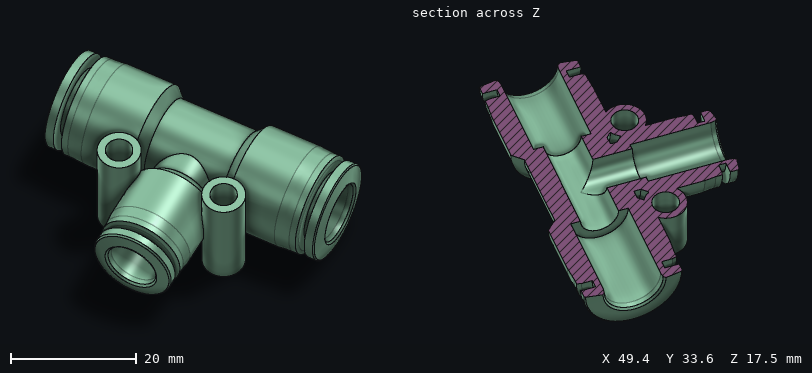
import cadquery as cq


run_half_length = 24.7
branch_reach = 24.8
flow_bore_radius = 3.2

border_depth = 0.2
border_width = 0.8

run_arm = dict(
    length=run_half_length,
    core_radius=7.05,
    rim_radius=8.4,
    face_radius=8.15,
    face_depth=0.45,
    rim_depth=0.65,
    rim_end=2.1,
    neck_radius=5.95,
    body_start=3.45,
    lip_radius=8.55,
    lip_end=4.8,
    body_radius=8.75,
    taper_end=7.3,
    shoulder_depth=16.1,
    mouth_radius=5.35,
    throat_radius=5.0,
    throat_depth=0.35,
    socket_radius=4.85,
    lead_in_depth=1.2,
)

branch_arm = dict(
    length=branch_reach,
    core_radius=5.5,
    rim_radius=6.9,
    face_radius=6.65,
    face_depth=0.35,
    rim_depth=0.65,
    rim_end=2.0,
    neck_radius=4.9,
    body_start=3.15,
    lip_radius=7.05,
    lip_end=4.5,
    body_radius=7.25,
    taper_end=6.4,
    shoulder_depth=14.85,
    mouth_radius=4.65,
    throat_radius=4.3,
    throat_depth=0.35,
    socket_radius=4.15,
    lead_in_depth=1.2,
)

mount_spacing = 18.8
mount_y = -10.9
mount_radius = 3.5
mount_hole_radius = 2.15
mount_height = 2 * run_arm["body_radius"]


def revolve_about_x(points):
    """Revolve a closed half-profile of (x, radius) points about the X axis."""
    return cq.Workplane("XY").polyline(points).close().revolve(360, (0, 0, 0), (1, 0, 0))


def arm_solid(a):
    """Outside of one arm, lying along +X with its open tip at x = length."""
    tip = a["length"]
    shoulder_end = a["shoulder_depth"] + a["body_radius"] - a["core_radius"]
    outline = [
        (0, 0),
        (0, a["mouth_radius"]),
        (a["face_depth"], a["face_radius"]),
        (a["rim_depth"], a["rim_radius"]),
        (a["rim_end"], a["rim_radius"]),
        (a["rim_end"], a["neck_radius"]),
        (a["body_start"], a["neck_radius"]),
        (a["body_start"], a["lip_radius"] - border_width),
        (a["body_start"] + border_depth, a["lip_radius"]),
        (a["lip_end"], a["lip_radius"]),
        (a["taper_end"], a["body_radius"]),
        (a["shoulder_depth"], a["body_radius"]),
        (shoulder_end, a["core_radius"]),
        (tip, a["core_radius"]),
        (tip, 0),
    ]
    return revolve_about_x([(tip - depth, radius) for depth, radius in outline])


def arm_cavity(a):
    """Tube socket with a tapered mouth, ending at the shoulder, plus the flow bore."""
    tip = a["length"]
    outline = [
        (0, 0),
        (0, a["mouth_radius"]),
        (a["throat_depth"], a["throat_radius"]),
        (a["lead_in_depth"], a["socket_radius"]),
        (a["shoulder_depth"], a["socket_radius"]),
        (a["shoulder_depth"], flow_bore_radius),
        (tip, flow_bore_radius),
        (tip, 0),
    ]
    return revolve_about_x([(tip - depth, radius) for depth, radius in outline])


def place_arms(make):
    """Join what `make` builds for the +X, -X and -Y arms."""
    run = make(run_arm)
    opposite_run = run.rotate((0, 0, 0), (0, 0, 1), 180)
    branch = make(branch_arm).rotate((0, 0, 0), (0, 0, 1), -90)
    return run.union(opposite_run).union(branch)


def mount_cylinders(radius):
    """Vertical cylinders at both mounting positions, centred on Z = 0."""
    half = mount_spacing / 2
    return (
        cq.Workplane("XY", origin=(0, 0, -mount_height / 2))
        .pushPoints([(-half, mount_y), (half, mount_y)])
        .circle(radius)
        .extrude(mount_height)
    )


outside = place_arms(arm_solid).union(mount_cylinders(mount_radius))
hollowed = outside.cut(place_arms(arm_cavity)).cut(mount_cylinders(mount_hole_radius))
result = cq.Workplane(hollowed.clean().solids().val())